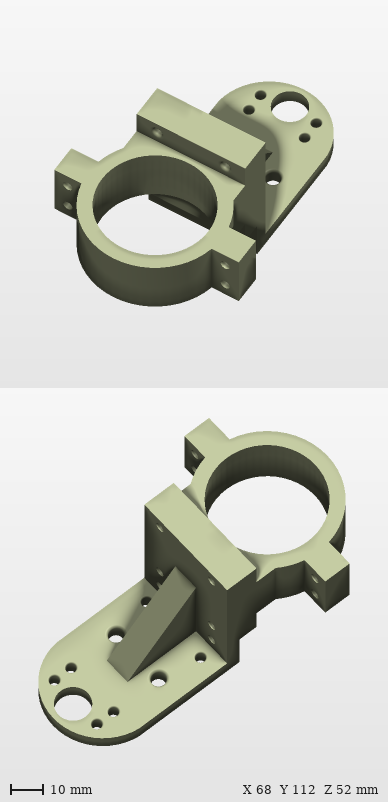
import cadquery as cq
import math

plate_width = 40.0
plate_thickness = 5.0
nose_length = 18.0
bracket_height = 52.0
wall_front = 28.5
wall_thickness = 5.0
wall_back = wall_front + wall_thickness
bracket_length = 59.0
nose_end = wall_front + bracket_length
gusset_width = 10.0
gusset_leg = 28.0

bracket_center_x = -0.3
bore_radius = 19.5
ring_wall = 5.0
ring_radius = bore_radius + ring_wall
ring_height = 20.0
tab_thickness = 5.0
tab_length = 10.0
tab_half_span = math.sqrt(ring_radius**2 - tab_thickness**2) + tab_length
flange_thickness = 7.0
flange_front = wall_front - flange_thickness
flange_height = 37.5
flange_bottom = bracket_height - flange_height
ring_middle_z = flange_bottom + flange_height / 2
ring_bottom = ring_middle_z - ring_height / 2

screw_diameter = 3.4
small_rounding = 0.5
large_rounding = 1.0
motor_hole_diameter = 12.0
motor_hole_edge = 2.0
motor_hole_y = nose_end - motor_hole_edge - motor_hole_diameter / 2
motor_screw_spacing = 20.5
motor_screw_rows = (78.5, 71.7)
bolt_diameter = 5.0
bolt_spacing = 20.5
bolt_y = 53.3
rear_screw_spacing = 26.0
rear_screw_y = wall_back + 5.0
flange_screw_spacing = 25.0
flange_screw_edge = 4.5
flange_screw_rows = (flange_bottom + flange_screw_edge, bracket_height - flange_screw_edge)
spare_screw_z = 10.0
tab_screw_x = tab_half_span - tab_length / 2
tab_screw_spacing = 10.0

X_AXIS = cq.Vector(1, 0, 0)
UP = cq.Vector(0, 0, 1)
DOWN = cq.Vector(0, 0, -1)
BACKWARD = cq.Vector(0, 1, 0)


def block(x_middle, x_size, y_start, y_end, z_start, z_end):
    """Rectangular block centred on x_middle in X, with given ends in Y and Z."""
    return (
        cq.Workplane("XY")
        .box(x_size, y_end - y_start, z_end - z_start, centered=(True, False, False))
        .translate((x_middle, y_start, z_start))
    )


def hole_cutter(diameter, rounding, depth, mouth, direction):
    """Round cutter starting at mouth, flared so that the rim of the hole is rounded over."""
    radius = diameter / 2
    if rounding == 0:
        return cq.Workplane(cq.Solid.makeCylinder(radius, depth, mouth, direction))
    arc_inset = rounding * (1 - math.sqrt(0.5))
    profile_plane = cq.Plane(origin=mouth, xDir=direction.cross(X_AXIS), normal=X_AXIS)
    return (
        cq.Workplane(profile_plane)
        .lineTo(radius + rounding, 0)
        .threePointArc((radius + arc_inset, arc_inset), (radius, rounding))
        .lineTo(radius, depth)
        .lineTo(0, depth)
        .close()
        .revolve(360, (0, 0), (0, 1))
    )


def drill_pair(body, spacing, center_x, y, z, diameter, rounding, depth, direction):
    """Cut two holes placed symmetrically about center_x."""
    for side in (-1, 1):
        mouth = cq.Vector(center_x + side * spacing / 2, y, z)
        body = body.cut(hole_cutter(diameter, rounding, depth, mouth, direction))
    return body


def make_bracket():
    half_width = plate_width / 2
    nose_start = nose_end - nose_length
    plate = (
        cq.Workplane("XY")
        .moveTo(bracket_center_x - half_width, wall_front)
        .lineTo(bracket_center_x + half_width, wall_front)
        .lineTo(bracket_center_x + half_width, nose_start)
        .threePointArc((bracket_center_x, nose_end), (bracket_center_x - half_width, nose_start))
        .close()
        .extrude(plate_thickness)
    )
    wall = block(bracket_center_x, plate_width, wall_front, wall_back, 0, bracket_height)
    gusset = (
        cq.Workplane("YZ")
        .moveTo(wall_back, plate_thickness)
        .lineTo(wall_back + gusset_leg, plate_thickness)
        .lineTo(wall_back, plate_thickness + gusset_leg)
        .close()
        .extrude(gusset_width / 2, both=True)
        .translate((bracket_center_x, 0, 0))
    )
    body = plate.union(wall).union(gusset)

    motor_hole_base = cq.Vector(bracket_center_x, motor_hole_y, 0)
    body = body.cut(cq.Solid.makeCylinder(motor_hole_diameter / 2, plate_thickness, motor_hole_base, UP))

    plate_holes = [(motor_screw_spacing, y, screw_diameter, small_rounding) for y in motor_screw_rows]
    plate_holes.append((bolt_spacing, bolt_y, bolt_diameter, large_rounding))
    plate_holes.append((rear_screw_spacing, rear_screw_y, screw_diameter, small_rounding))
    for spacing, y, diameter, rounding in plate_holes:
        body = drill_pair(
            body, spacing, bracket_center_x, y, plate_thickness,
            diameter, rounding, plate_thickness, DOWN
        )

    for z in (spare_screw_z, *flange_screw_rows):
        body = drill_pair(
            body, flange_screw_spacing, bracket_center_x, wall_front, z,
            screw_diameter, 0, wall_thickness, BACKWARD
        )
    return body


def make_half_ring(y_start, y_end):
    """Half of the clamp ring and its two tabs, kept between y_start and y_end, before boring."""
    ring = cq.Workplane("XY").circle(ring_radius).extrude(ring_height).translate((0, 0, ring_bottom))
    ring_top = ring_bottom + ring_height
    ring = ring.intersect(block(0, 2 * ring_radius, y_start, y_end, ring_bottom, ring_top))
    tab_start = max(y_start, -tab_thickness)
    tab_end = min(y_end, tab_thickness)
    return ring.union(block(0, 2 * tab_half_span, tab_start, tab_end, ring_bottom, ring_top))


def bore_and_drill_tabs(body):
    """Cut the clamp bore and the tab screw holes."""
    body = body.cut(cq.Workplane("XY").circle(bore_radius).extrude(bracket_height))
    for offset in (-tab_screw_spacing / 2, tab_screw_spacing / 2):
        body = drill_pair(
            body, 2 * tab_screw_x, 0, -tab_thickness, ring_middle_z + offset,
            screw_diameter, 0, 2 * tab_thickness, BACKWARD
        )
    return body


def make_rear_clamp():
    body = make_half_ring(0, ring_radius)
    neck = block(bracket_center_x, plate_width, 0, wall_front, ring_bottom, ring_bottom + ring_height)
    flange = block(bracket_center_x, plate_width, flange_front, wall_front, flange_bottom, bracket_height)
    body = bore_and_drill_tabs(body.union(neck).union(flange))
    for z in flange_screw_rows:
        body = drill_pair(
            body, flange_screw_spacing, bracket_center_x, flange_front, z,
            screw_diameter, large_rounding, flange_thickness, BACKWARD
        )
    return body


def make_front_clamp():
    return bore_and_drill_tabs(make_half_ring(-ring_radius, 0))


bracket = make_bracket()
rear_clamp = make_rear_clamp()
front_clamp = make_front_clamp()

result = cq.Compound.makeCompound([bracket.val(), rear_clamp.val(), front_clamp.val()])